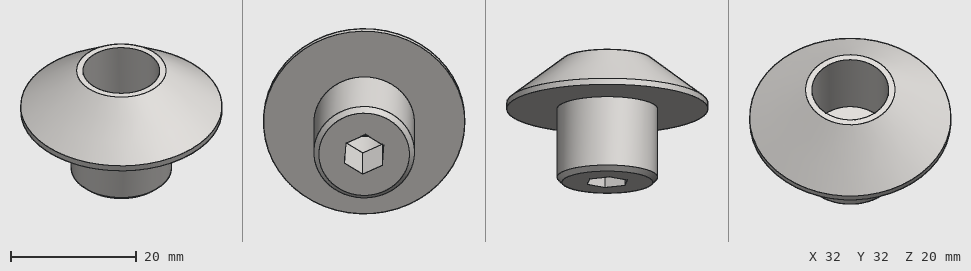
import cadquery as cq
import math

flange_diameter = 32.0
total_height = 20.0
shank_diameter = flange_diameter / 2
shank_length = 12.0
rim_thickness = 1.0
crown_diameter = 14.2
shank_chamfer = 0.8
bore_diameter = 12.2
bore_depth = 12.0
hex_across_flats = 6.0

flange_radius = flange_diameter / 2
shank_radius = shank_diameter / 2
crown_radius = crown_diameter / 2
rim_top = shank_length + rim_thickness
hex_across_corners = hex_across_flats / math.cos(math.pi / 6)


def make_body():
    """Revolve the half profile: chamfered shank, thin rim and conical head."""
    profile = (
        cq.Workplane("XZ")
        .lineTo(shank_radius - shank_chamfer, 0)
        .lineTo(shank_radius, shank_chamfer)
        .lineTo(shank_radius, shank_length)
        .lineTo(flange_radius, shank_length)
        .lineTo(flange_radius, rim_top)
        .lineTo(crown_radius, total_height)
        .lineTo(0, total_height)
        .close()
    )
    return profile.revolve(360, (0, 0, 0), (0, 1, 0))


def make_bore():
    """Round blind bore, open at the top of the head."""
    floor = cq.Workplane("XY").workplane(offset=total_height - bore_depth)
    return floor.circle(bore_diameter / 2).extrude(bore_depth)


def make_hex_hole():
    """Hexagonal through hole with two corners on the Y axis."""
    hexagon = cq.Workplane("XY").polygon(6, hex_across_corners)
    return hexagon.extrude(total_height).rotate((0, 0, 0), (0, 0, 1), 30)


result = make_body().cut(make_bore()).cut(make_hex_hole())